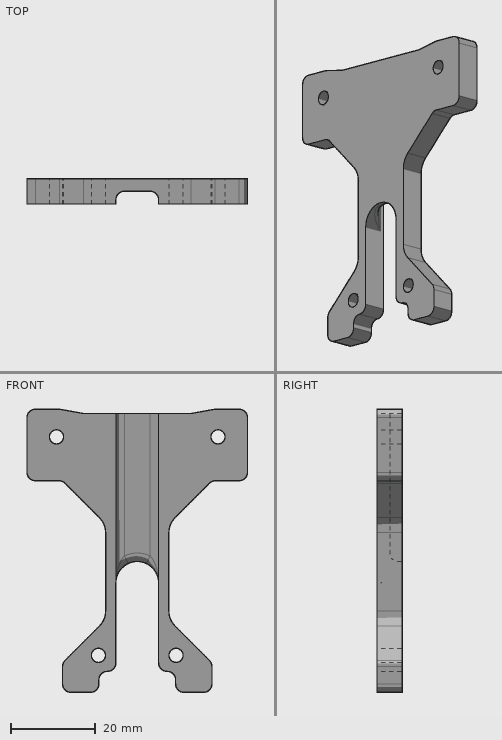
import cadquery as cq

width = 52.0
height = 66.8
thickness = 6.0
corner_radius = 2.0

tab_bottom = 49.9
dip_depth = 1.0
dip_half_width = 12.7
dip_slope_end = 18.3

waist_half_width = 7.5
waist_radius = 5.0
tab_flank_half_width = 17.6
foot_half_width = 17.6
foot_flank_bottom = 6.95

slot_width = 10.0
slot_arch_center = 25.85
step_half_width = 9.0
step_height = 4.95
step_inner_radius = 1.95

groove_depth = 3.0
groove_radius = 2.0
arch_edge_radius = 2.0

hole_diameter = 3.3
upper_hole = (19.0, 60.25)
lower_hole = (9.15, 8.75)


def mirrored_outline(right_side):
    """Close a right-hand chain of (x, z) points with its mirror image."""
    return right_side + [(-x, z) for x, z in reversed(right_side)]


def extruded(outline, depth):
    """Extrude an (x, z) outline from the front face towards +Y."""
    return cq.Workplane("XZ").polyline(outline).close().extrude(-depth)


def round_corners(body, points, radius):
    """Round the Y-parallel edges at the given (x, z) points and their mirrors."""
    for x, z in points:
        for side in (-1, 1):
            selector = cq.selectors.NearestToPointSelector((side * x, thickness / 2, z))
            body = body.edges("|Y").edges(selector).fillet(radius)
    return body


def make_plate():
    half_width = width / 2
    tab_flank_run = tab_flank_half_width - waist_half_width
    foot_flank_run = foot_half_width - waist_half_width
    tab_corners = [(half_width, height), (half_width, tab_bottom), (tab_flank_half_width, tab_bottom)]
    waist_corners = [
        (waist_half_width, tab_bottom - tab_flank_run),
        (waist_half_width, foot_flank_bottom + foot_flank_run),
    ]
    foot_corners = [(foot_half_width, foot_flank_bottom), (foot_half_width, 0)]
    dip = [(dip_half_width, height - dip_depth), (dip_slope_end, height)]
    right_side = dip + tab_corners + waist_corners + foot_corners
    plate = extruded(mirrored_outline(right_side), thickness)
    plate = round_corners(plate, tab_corners + foot_corners, corner_radius)
    return round_corners(plate, waist_corners, waist_radius)


def cut_groove(body):
    groove = (
        cq.Workplane("XY")
        .box(slot_width, groove_depth, height - slot_arch_center, centered=(True, False, False))
        .edges("|Z and >Y")
        .fillet(groove_radius)
        .translate((0, 0, slot_arch_center))
    )
    return body.cut(groove)


def cut_slot(body):
    slot_radius = slot_width / 2
    slot = (
        cq.Workplane("XZ")
        .moveTo(-slot_radius, 0)
        .lineTo(-slot_radius, slot_arch_center)
        .threePointArc((0, slot_arch_center + slot_radius), (slot_radius, slot_arch_center))
        .lineTo(slot_radius, 0)
        .close()
        .extrude(-thickness)
    )
    step = extruded(mirrored_outline([(step_half_width, 0), (step_half_width, step_height)]), thickness)
    body = body.cut(slot).cut(step)
    body = round_corners(body, [(slot_radius, step_height), (step_half_width, 0)], corner_radius)
    return round_corners(body, [(step_half_width, step_height)], step_inner_radius)


def round_arch_edge(body):
    """Round the edge where the groove runs out into the arch of the slot."""
    arch_top = (0, groove_depth, slot_arch_center + slot_width / 2)
    return body.edges(cq.selectors.NearestToPointSelector(arch_top)).fillet(arch_edge_radius)


def drill_holes(body):
    centers = [(side * x, z) for x, z in (upper_hole, lower_hole) for side in (-1, 1)]
    holes = cq.Workplane("XZ").pushPoints(centers).circle(hole_diameter / 2).extrude(-thickness)
    return body.cut(holes)


result = drill_holes(round_arch_edge(cut_slot(cut_groove(make_plate()))))